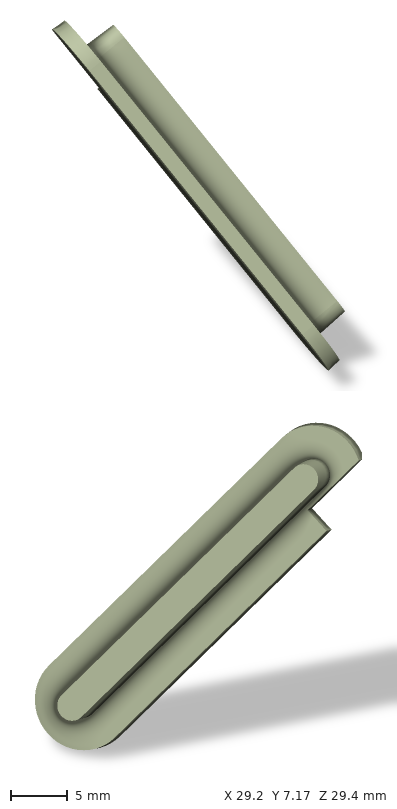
import cadquery as cq
import math

center_span = 29.97
plate_radius = 4.4
plate_thickness = 1.32
plate_draft = 4.0
rib_radius = 1.45
rib_height = 3.1
rib_draft = 2.5
notch_length = 2.68
lip_edge = 1.38
lip_bevel = 0.53

length_direction = cq.Vector(1, 0, -1)
rib_direction = cq.Vector(1, math.sqrt(2), 1)
part_plane = cq.Plane(origin=(0, 0, 0), xDir=length_direction, normal=rib_direction)


def tapered_stadium(radius, height, draft, base):
    """Round-ended bar, narrowing away from its base."""
    return (
        cq.Workplane("XY", origin=(0, 0, base))
        .slot2D(center_span + 2 * radius, 2 * radius)
        .extrude(height, taper=draft)
    )


def notch():
    """Corner cut through the plate, leaving a beveled lip beside the rib."""
    start = -center_span / 2 - 2 * plate_radius
    end = -center_span / 2 + notch_length
    wall_inset = (plate_thickness - lip_bevel) * math.tan(math.radians(plate_draft))
    outside = 2 * plate_radius
    profile = [
        (outside, 0),
        (lip_edge, 0),
        (lip_edge + lip_bevel, lip_bevel),
        (lip_edge + lip_bevel - wall_inset, plate_thickness),
        (outside, plate_thickness),
    ]
    return cq.Workplane("YZ", origin=(start, 0, 0)).polyline(profile).close().extrude(end - start)


plate = tapered_stadium(plate_radius, plate_thickness, plate_draft, 0).cut(notch())
rib = tapered_stadium(rib_radius, rib_height, rib_draft, plate_thickness)
local_part = plate.union(rib)

result = cq.Workplane(obj=local_part.val().moved(cq.Location(part_plane)))